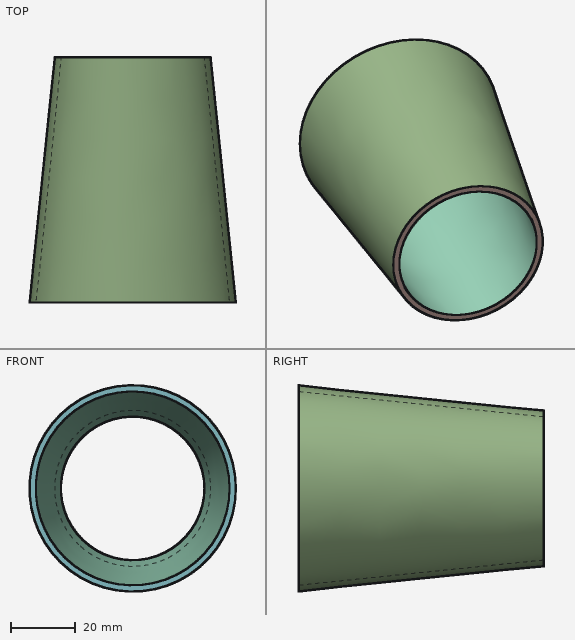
import cadquery as cq

length = 76.0
wide_diameter = 64.0
narrow_diameter = 48.3
wall = 2.0

wide_radius = wide_diameter / 2
narrow_radius = narrow_diameter / 2

wall_section = [
    (wide_radius - wall, -length / 2),
    (wide_radius, -length / 2),
    (narrow_radius, length / 2),
    (narrow_radius - wall, length / 2),
]

result = (
    cq.Workplane("XY")
    .polyline(wall_section)
    .close()
    .revolve(360, (0, 0, 0), (0, 1, 0))
)